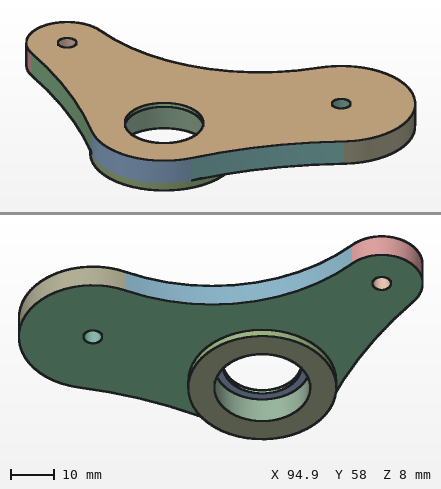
import cadquery as cq
import math

hub_centre = (0, 0)
small_centre = (-34.6, 24.3)
large_centre = (33.9, 24.0)

hub_radius = 17.0
large_radius = hub_radius
small_radius = 9.4
top_waist_radius = 45.0
left_waist_radius = 120.0
right_waist_radius = 100.0

plate_thickness = 6.0
boss_height = 2.0
bore_diameter = 18
pocket_diameter = 22.0
lip_thickness = 1.0
pin_hole_diameter = 4.3


def point_towards(start, end, distance):
    """Point at the given distance from start on the way to end."""
    span = math.dist(start, end)
    return tuple(a + (b - a) * distance / span for a, b in zip(start, end))


def waist_arc(first, first_radius, second, second_radius, radius):
    """Start, middle and end of the concave arc tangent to two lobes.

    The arc lies on the right-hand side when going from first to second.
    """
    span = math.dist(first, second)
    first_reach = radius + first_radius
    second_reach = radius + second_radius
    along = (first_reach**2 - second_reach**2 + span**2) / (2 * span)
    aside = math.sqrt(first_reach**2 - along**2)
    ux = (second[0] - first[0]) / span
    uy = (second[1] - first[1]) / span
    centre = (first[0] + along * ux + aside * uy, first[1] + along * uy - aside * ux)
    start = point_towards(first, centre, first_radius)
    end = point_towards(second, centre, second_radius)
    chord_middle = ((start[0] + end[0]) / 2, (start[1] + end[1]) / 2)
    middle = point_towards(centre, chord_middle, radius)
    return start, middle, end


def make_plate():
    lobes = [
        (hub_centre, hub_radius, right_waist_radius),
        (large_centre, large_radius, top_waist_radius),
        (small_centre, small_radius, left_waist_radius),
    ]
    waists = []
    for index, (centre, radius, waist_radius) in enumerate(lobes):
        next_centre, next_radius, _ = lobes[(index + 1) % len(lobes)]
        waists.append(waist_arc(centre, radius, next_centre, next_radius, waist_radius))

    plate_middle = tuple(sum(values) / len(lobes) for values in zip(*(lobe[0] for lobe in lobes)))
    outline = cq.Workplane("XY").moveTo(*waists[-1][2])
    for index, (centre, radius, _) in enumerate(lobes):
        waist_start, waist_middle, waist_end = waists[index]
        outer = point_towards(centre, plate_middle, -radius)
        outline = outline.threePointArc(outer, waist_start)
        outline = outline.threePointArc(waist_middle, waist_end)
    return outline.close().extrude(plate_thickness)


total_height = plate_thickness + boss_height
boss = (
    cq.Workplane("XY", origin=(0, 0, -boss_height))
    .center(*hub_centre)
    .circle(hub_radius)
    .extrude(total_height)
)
body = make_plate().union(boss)

top_face = cq.Workplane("XY", origin=(0, 0, plate_thickness))
bore = top_face.center(*hub_centre).circle(bore_diameter / 2).extrude(-total_height)

pocket = (
    cq.Workplane("XY", origin=(0, 0, -boss_height))
    .center(*hub_centre)
    .circle(pocket_diameter / 2)
    .extrude(total_height - lip_thickness)
)

pin_holes = (
    top_face.pushPoints([small_centre, large_centre])
    .circle(pin_hole_diameter / 2)
    .extrude(-plate_thickness)
)

result = body.cut(bore).cut(pocket).cut(pin_holes)